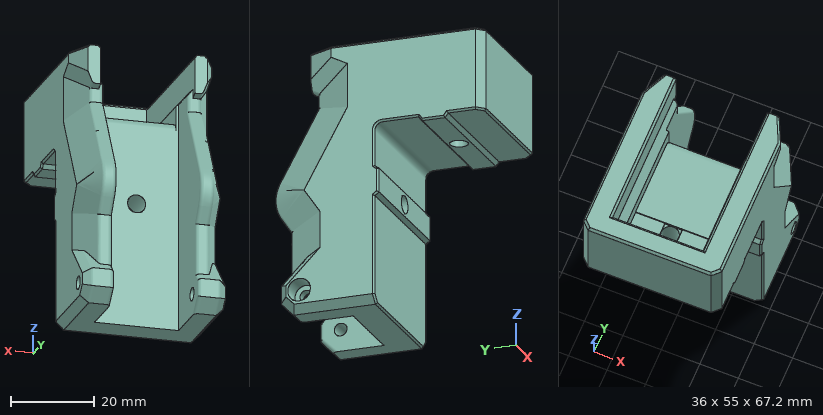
import cadquery as cq
import math


WIDTH = 36.0
LENGTH = 55.0
HEIGHT = 67.2
HALF_WIDTH = WIDTH / 2
TALL = 2 * HEIGHT

HEAD_BOTTOM = 46.1
HEAD_BACK = 45.45
HEAD_BACK_BOTTOM = 57.0
GRIP_FRONT = 27.95
GRIP_BACK = 36.15
CORNER_RADIUS = 2.0
BODY_CHAMFER = 2.0
TOP_CHAMFER = 0.6
EDGE_CHAMFER = 0.5

RAIL_HEIGHT = 1.1
RAIL_SLOPE = 0.8
HEAD_RAIL_START = 9.15
HEAD_RAIL_END = 16.75
GRIP_RAIL_START = 27.35
GRIP_RAIL_END = 35.1

ARM_INNER_X = 10.55
ARM_FRONT = GRIP_BACK - CORNER_RADIUS
FLARE_REACH = 9.0
FLARE_DEPTH = 4.25
ARM_FILLET = 1.0
RIM_MARGIN = 0.35
APEX_Y = LENGTH - FLARE_REACH
APEX_Z = 31.05
HEAD_FLANK_Y = 39.05
HEAD_FLANK_Z = 64.3
NECK_Y = 34.9
NECK_TOP_Z = 62.2
NECK_BOTTOM_Z = 50.9
SHIN_Y = 41.9
SHIN_TOP_Z = 25.0
SHIN_BOTTOM_Z = 6.05

FOOT_BACK = 52.6
FOOT_TOP_Z = 7.85
FOOT_BEVEL = 3.3
FOOT_SLOPE_END_Y = 40.3

POCKET_FRONT = 5.45
POCKET_HALF_WIDTH = 11.8
FLOOR_HALF_WIDTH = 9.9
FLOOR_Z = 52.9
LEDGE_TOP_Z = 58.95
LEDGE_BOTTOM_Z = LEDGE_TOP_Z - (POCKET_HALF_WIDTH - FLOOR_HALF_WIDTH)

BOLT_DIAMETER = 4.5
HEAD_BOLT_Y = (HEAD_RAIL_START + HEAD_RAIL_END) / 2
GRIP_BOLT_Z = (GRIP_RAIL_START + GRIP_RAIL_END) / 2
GROOVE_DEPTH = 0.35
PIN_DIAMETER = 3.2
PIN_BORE_DIAMETER = 5.8
PIN_BORE_DEPTH = 5.0
PIN_Y = 47.25
PIN_Z = 5.6


def extrude_outline(points, x_start, x_end):
    """Extrude a closed (Y, Z) outline between two X positions."""
    plane = cq.Workplane("YZ", origin=(x_start, 0, 0))
    return plane.polyline(points).close().extrude(x_end - x_start)


def block(x_limits, y_limits, z_limits):
    """Box between the given limits."""
    sizes = [high - low for low, high in (x_limits, y_limits, z_limits)]
    corner = (x_limits[0], y_limits[0], z_limits[0])
    return cq.Workplane("XY").box(*sizes, centered=False).translate(corner)


def shift(point, direction, distance):
    """Move a (Y, Z) point along a unit direction."""
    return (point[0] + distance * direction[0], point[1] + distance * direction[1])


def outward_normal(start, end):
    """Unit normal on the back side of an edge that runs downward."""
    dy, dz = end[0] - start[0], end[1] - start[1]
    length = math.hypot(dy, dz)
    return (-dz / length, dy / length)


def mitre(point, normal_a, normal_b, distance):
    """Corner of the two edges that meet at a point, each moved out by a distance."""
    stretch = 1 + normal_a[0] * normal_b[0] + normal_a[1] * normal_b[1]
    summed = (normal_a[0] + normal_b[0], normal_a[1] + normal_b[1])
    return shift(point, summed, distance / stretch)


def rim_box(rim_x, front_y, bottom_z, top_z):
    """Selector for the edges at one X position, behind front_y and between two levels."""
    return cq.selectors.BoxSelector(
        (rim_x - RIM_MARGIN, front_y + RIM_MARGIN, bottom_z),
        (rim_x + RIM_MARGIN, TALL, top_z),
    )


def front_body():
    """Head and grip wall with rails, without the arms."""
    profile = [
        (0, HEIGHT),
        (0, HEAD_BOTTOM),
        (HEAD_RAIL_START, HEAD_BOTTOM),
        (HEAD_RAIL_START + RAIL_SLOPE, HEAD_BOTTOM - RAIL_HEIGHT),
        (HEAD_RAIL_END - RAIL_SLOPE, HEAD_BOTTOM - RAIL_HEIGHT),
        (HEAD_RAIL_END, HEAD_BOTTOM),
        (GRIP_FRONT, HEAD_BOTTOM),
        (GRIP_FRONT, GRIP_RAIL_END),
        (GRIP_FRONT - RAIL_HEIGHT, GRIP_RAIL_END - RAIL_SLOPE),
        (GRIP_FRONT - RAIL_HEIGHT, GRIP_RAIL_START + RAIL_SLOPE),
        (GRIP_FRONT, GRIP_RAIL_START),
        (GRIP_FRONT, SHIN_BOTTOM_Z),
        (NECK_Y, SHIN_BOTTOM_Z),
        (NECK_Y, HEIGHT),
    ]
    body = extrude_outline(profile, -HALF_WIDTH, HALF_WIDTH)
    inner_corner = cq.selectors.NearestToPointSelector((0, GRIP_FRONT, HEAD_BOTTOM))
    body = body.edges(inner_corner).fillet(CORNER_RADIUS)
    return body.edges("|Z and <Y").chamfer(BODY_CHAMFER)


def foot():
    """Lower block of grip and arms with bevelled sides."""
    slope_end_z = FOOT_BACK + FOOT_TOP_Z - FOOT_SLOPE_END_Y
    profile = [
        (GRIP_FRONT, 0),
        (FOOT_BACK - FOOT_BEVEL, 0),
        (FOOT_BACK, FOOT_BEVEL),
        (FOOT_BACK, FOOT_TOP_Z),
        (FOOT_SLOPE_END_Y, slope_end_z),
        (GRIP_FRONT, slope_end_z),
    ]
    solid = extrude_outline(profile, -HALF_WIDTH, HALF_WIDTH)
    sides = solid.faces("<X or >X").edges("not (<Y or >Z)")
    solid = sides.chamfer(BODY_CHAMFER)
    slot = block((-ARM_INNER_X, ARM_INNER_X), (GRIP_BACK, TALL), (-TALL, TALL))
    solid = solid.cut(slot)

    bevel_x = HALF_WIDTH - BODY_CHAMFER
    for rim_x in (-bevel_x, -ARM_INNER_X, ARM_INNER_X, bevel_x):
        rim = rim_box(rim_x, FOOT_SLOPE_END_Y, RIM_MARGIN, slope_end_z)
        solid = solid.edges(rim).fillet(ARM_FILLET)
    return solid


def break_front_edges(body):
    """Chamfer the rim of the head underside and of the grip front."""
    front_region = cq.selectors.BoxSelector(
        (-WIDTH, -EDGE_CHAMFER, -EDGE_CHAMFER),
        (WIDTH, GRIP_FRONT + EDGE_CHAMFER, HEAD_BOTTOM + EDGE_CHAMFER),
    )
    rim = body.edges(front_region).filter(lambda edge: edge.Length() < WIDTH - BODY_CHAMFER)
    return rim.chamfer(EDGE_CHAMFER)


def arm():
    """Arm on the +X side, its flank sloping in from a narrower outline on the side."""
    side = [
        (HEAD_FLANK_Y, HEIGHT),
        (HEAD_FLANK_Y, HEAD_FLANK_Z),
        (NECK_Y, NECK_TOP_Z),
        (NECK_Y, NECK_BOTTOM_Z),
        (APEX_Y, APEX_Z),
        (SHIN_Y, SHIN_TOP_Z),
        (SHIN_Y, SHIN_BOTTOM_Z),
    ]
    apex = side[4]
    normals = [outward_normal(a, b) for a, b in zip(side, side[1:])]
    corners = [
        mitre(point, before, after, FLARE_REACH)
        for point, before, after in zip(side[1:], normals, normals[1:])
    ]
    top = shift(side[0], normals[0], FLARE_REACH)
    bottom = shift(side[-1], normals[-1], FLARE_REACH)
    arc_start = shift(apex, normals[3], FLARE_REACH)
    arc_middle = shift(apex, (1, 0), FLARE_REACH)
    arc_end = shift(apex, normals[4], FLARE_REACH)
    flare_x = HALF_WIDTH - FLARE_DEPTH

    def plate(upper_points, x_start, x_end):
        """Plate that runs down the back of the arm from the given upper points."""
        return (
            cq.Workplane("YZ", origin=(x_start, 0, 0))
            .moveTo(ARM_FRONT, HEIGHT)
            .polyline(upper_points + [corners[2], arc_start], includeCurrent=True)
            .threePointArc(arc_middle, arc_end)
            .polyline([corners[4], bottom, (ARM_FRONT, SHIN_BOTTOM_Z)], includeCurrent=True)
            .close()
            .extrude(x_end - x_start)
        )

    strip = plate([(NECK_Y + FLARE_REACH, HEIGHT)], ARM_INNER_X, POCKET_HALF_WIDTH)
    full_plate = plate([top] + corners[:2], POCKET_HALF_WIDTH, flare_x)

    front_edge = [(ARM_FRONT, SHIN_BOTTOM_Z), (ARM_FRONT, HEIGHT)]
    slab = extrude_outline(side + front_edge, ARM_INNER_X, HALF_WIDTH)
    solid = strip.union(full_plate).union(slab)

    outer_starts = [top] + corners[:3] + [arc_end, corners[4]]
    outer_ends = corners[:3] + [arc_start, corners[4], bottom]
    for start, end, outer_start, outer_end in zip(side, side[1:], outer_starts, outer_ends):
        sections = []
        for inner, outer in ((start, outer_start), (end, outer_end)):
            triangle = [(HALF_WIDTH, *inner), (flare_x, *inner), (flare_x, *outer)]
            vectors = [cq.Vector(*point) for point in triangle]
            sections.append(cq.Wire.makePolygon(vectors, close=True))
        solid = solid.union(cq.Workplane(cq.Solid.makeLoft(sections, True)))

    cone = cq.Solid.makeCone(
        FLARE_REACH, 0, FLARE_DEPTH, cq.Vector(flare_x, *apex), cq.Vector(1, 0, 0)
    )
    solid = solid.union(cq.Workplane(cone)).clean()

    for rim_x in (ARM_INNER_X, flare_x):
        rim = rim_box(rim_x, SHIN_Y, SHIN_BOTTOM_Z + RIM_MARGIN, HEIGHT - RIM_MARGIN)
        solid = solid.edges(rim).fillet(ARM_FILLET)
    return solid


def pocket():
    """Cutter for the open-backed pocket, narrower below its sloping ledges."""
    right_wall = [
        (FLOOR_HALF_WIDTH, FLOOR_Z),
        (FLOOR_HALF_WIDTH, LEDGE_BOTTOM_Z),
        (POCKET_HALF_WIDTH, LEDGE_TOP_Z),
        (POCKET_HALF_WIDTH, TALL),
    ]
    left_wall = [(-x, z) for x, z in reversed(right_wall)]
    plane = cq.Workplane("XZ", origin=(0, POCKET_FRONT, 0))
    return plane.polyline(right_wall + left_wall).close().extrude(-TALL)


def rod(diameter, start, direction, length):
    """Round cutter from a start point along a direction."""
    return cq.Workplane(
        cq.Solid.makeCylinder(diameter / 2, length, cq.Vector(*start), cq.Vector(*direction))
    )


def holes():
    """Cutter for the bolt holes, the groove in the floor and the pin hole."""
    bolt_radius = BOLT_DIAMETER / 2
    groove_y = (HEAD_BOLT_Y - bolt_radius, HEAD_BOLT_Y + bolt_radius)
    groove = block(
        (-FLOOR_HALF_WIDTH, FLOOR_HALF_WIDTH), groove_y, (FLOOR_Z - GROOVE_DEPTH, FLOOR_Z)
    )
    recess = block(
        (-bolt_radius, bolt_radius), groove_y, (FLOOR_Z - 2 * GROOVE_DEPTH, FLOOR_Z)
    )
    head_bolt = rod(BOLT_DIAMETER, (0, HEAD_BOLT_Y, 0), (0, 0, 1), FLOOR_Z)
    grip_bolt = rod(BOLT_DIAMETER, (0, 0, GRIP_BOLT_Z), (0, 1, 0), GRIP_BACK)
    pin = rod(PIN_DIAMETER, (-HALF_WIDTH, PIN_Y, PIN_Z), (1, 0, 0), WIDTH)
    pin_bore = rod(PIN_BORE_DIAMETER, (-HALF_WIDTH, PIN_Y, PIN_Z), (1, 0, 0), PIN_BORE_DEPTH)
    cutter = groove
    for feature in (recess, head_bolt, grip_bolt, pin, pin_bore):
        cutter = cutter.union(feature)
    return cutter


body = break_front_edges(front_body().union(foot()).clean())

right_arm = arm()
grip_wall = block(
    (-ARM_INNER_X, ARM_INNER_X), (ARM_FRONT, GRIP_BACK), (SHIN_BOTTOM_Z, HEIGHT)
)
body = body.union(right_arm).union(right_arm.mirror("YZ")).union(grip_wall)
body = body.cut(block((-WIDTH, WIDTH), (HEAD_BACK, TALL), (HEAD_BACK_BOTTOM, TALL)))

body = body.cut(pocket()).clean()
floor_rear_edge = cq.selectors.NearestToPointSelector((0, GRIP_BACK, FLOOR_Z))
body = body.edges(floor_rear_edge).fillet(CORNER_RADIUS)
body = body.faces(">Z").edges("not >Y").chamfer(TOP_CHAMFER)

result = body.cut(holes())